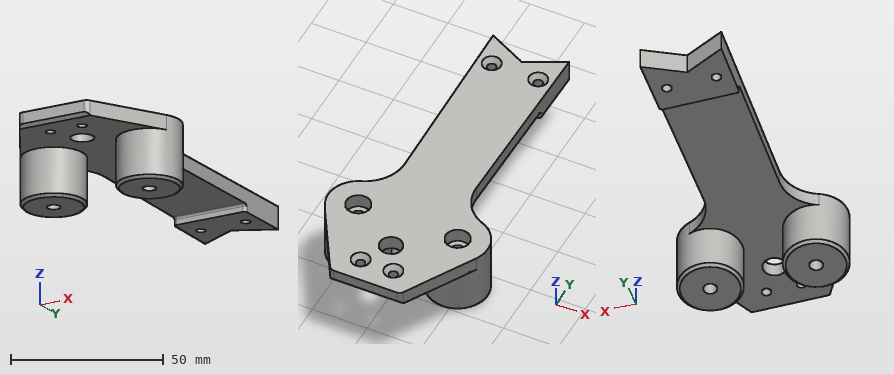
import cadquery as cq
import math


overall_width = 58.34
overall_length = 122.06
plate_thickness = 5.2
bottom_y = -31.4
tip_y = bottom_y + overall_length
notch_depth = 7.0
arm_tip_half_width = 13.92
arm_taper = math.radians(0.77)
flank_angle = math.radians(60)
nose_corner_radius = 2.0
nose_chamfer = 1.2
neck_radius = 14.5

boss_radius = 11.0
boss_x = overall_width / 2 - boss_radius
boss_points = [(-boss_x, 0), (boss_x, 0)]
boss_height = 17.0
boss_chamfer = 1.0
boss_hole_diameter = 4.6
boss_counterbore_diameter = 8.6
boss_counterbore_depth = 5.1

foot_height = 2.8
foot_start_y = 69.8
foot_corner_radius = 1.0
foot_root_radius = 0.8

center_hole_diameter = 8.0
center_hole_y = -12.5
screw_hole_diameter = 3.2
countersink_diameter = 6.6
countersink_angle = 90
nose_screw_x = 6.0
nose_screw_y = -22.8
tip_screw_x = 8.5
tip_screw_y = 78.7

selection_margin = 0.1


def arm_half_width(y):
    """Half width of the tapered arm at a given Y."""
    return arm_tip_half_width - (tip_y - y) * math.tan(arm_taper)


def neck_center():
    """Center of the concave neck arc, tangent to the arm side and to the boss circle."""
    slope = math.tan(arm_taper)
    offset_x = arm_half_width(0) + neck_radius / math.cos(arm_taper) - boss_x
    center_distance = neck_radius + boss_radius
    squares = 1 + slope**2
    y = (math.sqrt(center_distance**2 * squares - offset_x**2) - offset_x * slope) / squares
    return boss_x + offset_x + slope * y, y


def polar(center, radius, angle):
    """Point at a radius and angle (radians) from a center."""
    return center[0] + radius * math.cos(angle), center[1] + radius * math.sin(angle)


def make_plate():
    """Plate with a notched arm, round shoulders and a tapered nose."""
    boss_center = (boss_x, 0)
    neck = neck_center()
    toward_neck = math.atan2(neck[1], neck[0] - boss_x)
    side_normal = math.pi - arm_taper
    flank_normal = flank_angle - math.pi / 2

    neck_top = polar(neck, neck_radius, side_normal)
    neck_middle = polar(neck, neck_radius, (side_normal + toward_neck + math.pi) / 2)
    shoulder_top = polar(boss_center, boss_radius, toward_neck)
    shoulder_middle = polar(boss_center, boss_radius, (toward_neck + flank_normal) / 2)
    shoulder_bottom = polar(boss_center, boss_radius, flank_normal)
    nose_half_width = shoulder_bottom[0] - (shoulder_bottom[1] - bottom_y) / math.tan(flank_angle)

    half = (
        cq.Workplane("XY")
        .moveTo(0, tip_y - notch_depth)
        .lineTo(arm_tip_half_width, tip_y)
        .lineTo(*neck_top)
        .threePointArc(neck_middle, shoulder_top)
        .threePointArc(shoulder_middle, shoulder_bottom)
        .lineTo(nose_half_width, bottom_y)
        .lineTo(0, bottom_y)
        .close()
        .extrude(plate_thickness)
    )
    nose_corner = cq.selectors.BoxSelector(
        (nose_half_width - selection_margin, bottom_y - selection_margin, 0),
        (nose_half_width + selection_margin, bottom_y + selection_margin, plate_thickness),
    )
    half = half.edges("|Z").edges(nose_corner).fillet(nose_corner_radius)
    return half.union(half.mirror("YZ"))


def make_nose_chamfer():
    """Wedge that bevels the lower front edge of the nose."""
    return (
        cq.Workplane("YZ")
        .moveTo(bottom_y, 0)
        .lineTo(bottom_y + nose_chamfer, 0)
        .lineTo(bottom_y, nose_chamfer)
        .close()
        .extrude(boss_x, both=True)
    )


def make_foot():
    """Thick pad under the arm tip with rounded corners where it starts."""
    start_half_width = arm_half_width(foot_start_y)
    pad = (
        cq.Workplane("XY")
        .moveTo(0, tip_y - notch_depth)
        .lineTo(arm_tip_half_width, tip_y)
        .lineTo(start_half_width, foot_start_y)
        .lineTo(-start_half_width, foot_start_y)
        .lineTo(-arm_tip_half_width, tip_y)
        .close()
        .extrude(-foot_height)
    )
    start_corners = cq.selectors.BoxSelector(
        (-arm_tip_half_width, foot_start_y - selection_margin, -foot_height),
        (arm_tip_half_width, foot_start_y + selection_margin, 0),
    )
    return pad.edges("|Z").edges(start_corners).fillet(foot_corner_radius)


def make_bosses():
    """Two cylindrical bosses hanging from the shoulders."""
    return (
        cq.Workplane("XY")
        .pushPoints(boss_points)
        .circle(boss_radius)
        .extrude(-boss_height)
        .faces("<Z")
        .chamfer(boss_chamfer)
    )


def on_plate_top(body, points):
    """Workplane on the top face of the plate holding the given XY points."""
    top = body.faces(">Z").workplane(origin=(0, 0, plate_thickness))
    return top.pushPoints(points)


def cut_holes(body):
    """Boss counterbores, the center hole and the four countersunk screw holes."""
    screw_points = [
        (side * x, y)
        for side in (-1, 1)
        for x, y in ((nose_screw_x, nose_screw_y), (tip_screw_x, tip_screw_y))
    ]
    body = on_plate_top(body, boss_points).cboreHole(
        boss_hole_diameter, boss_counterbore_diameter, boss_counterbore_depth
    )
    body = on_plate_top(body, [(0, center_hole_y)]).hole(center_hole_diameter)
    return on_plate_top(body, screw_points).cskHole(
        screw_hole_diameter, countersink_diameter, countersink_angle
    )


def round_foot_root(body):
    """Concave fillet where the foot's start face meets the underside of the plate."""
    half_width = arm_half_width(foot_start_y)
    root_line = cq.selectors.BoxSelector(
        (-half_width, foot_start_y - selection_margin, -selection_margin),
        (half_width, foot_start_y + selection_margin, selection_margin),
    )
    return body.edges(root_line).fillet(foot_root_radius)


plate = make_plate().cut(make_nose_chamfer())
body = round_foot_root(plate.union(make_foot()))
result = cut_holes(body.union(make_bosses()))